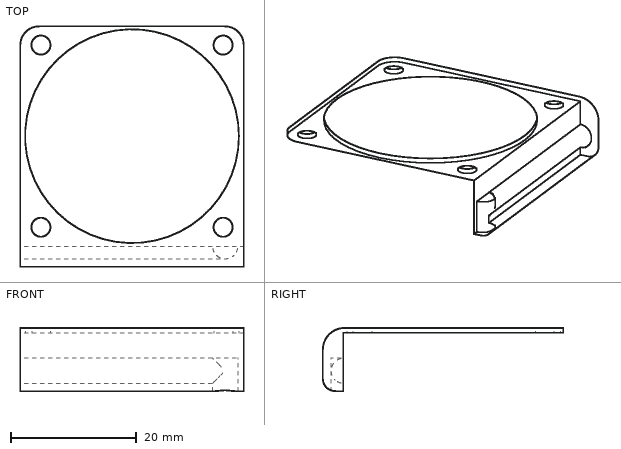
import cadquery as cq

width = 35.6
height = 10.1
wall_thickness = 3.3
plate_depth = 35.0
plate_thickness = 0.8

plate_corner_radius = 3.0
top_edge_radius = 3.5
bottom_edge_radius = 2.0

opening_diameter = 34.0
screw_hole_diameter = 3.0
screw_hole_pitch = 29.0

channel_radius = 2.0
channel_height = 3.3
channel_end_wall = 1.0

wall_inner_y = -plate_depth / 2
wall_outer_y = wall_inner_y - wall_thickness
plate_back_y = plate_depth / 2
plate_underside_z = height - plate_thickness
outlet_x = width / 2 - channel_end_wall - channel_radius


def make_bracket():
    """L-shaped profile with a thick wall, extruded along X and rounded."""
    profile = (
        cq.Workplane("YZ", origin=(-width / 2, 0, 0))
        .moveTo(plate_back_y, height)
        .lineTo(wall_outer_y + top_edge_radius, height)
        .radiusArc((wall_outer_y, height - top_edge_radius), -top_edge_radius)
        .lineTo(wall_outer_y, bottom_edge_radius)
        .radiusArc((wall_outer_y + bottom_edge_radius, 0), -bottom_edge_radius)
        .lineTo(wall_inner_y, 0)
        .lineTo(wall_inner_y, plate_underside_z)
        .lineTo(plate_back_y, plate_underside_z)
        .close()
    )
    return profile.extrude(width).edges("|Z and >Y").fillet(plate_corner_radius)


def make_plate_holes():
    """Cutters for the fan opening and the four screw holes."""
    plate = cq.Workplane("XY", origin=(0, 0, plate_underside_z))
    opening = plate.circle(opening_diameter / 2).extrude(plate_thickness)
    screw_holes = (
        plate.rect(screw_hole_pitch, screw_hole_pitch, forConstruction=True)
        .vertices()
        .circle(screw_hole_diameter / 2)
        .extrude(plate_thickness)
    )
    return opening.union(screw_holes)


def make_cable_channel():
    """Cutter for the groove along the wall's inner face and its downward outlet."""
    groove = (
        cq.Workplane("YZ", origin=(-width / 2, wall_inner_y, channel_height))
        .circle(channel_radius)
        .extrude(outlet_x + width / 2)
    )
    outlet = (
        cq.Workplane("XY", origin=(outlet_x, wall_inner_y, 0))
        .circle(channel_radius)
        .extrude(channel_height + channel_radius)
    )
    return groove.union(outlet)


result = make_bracket().cut(make_plate_holes()).cut(make_cable_channel())